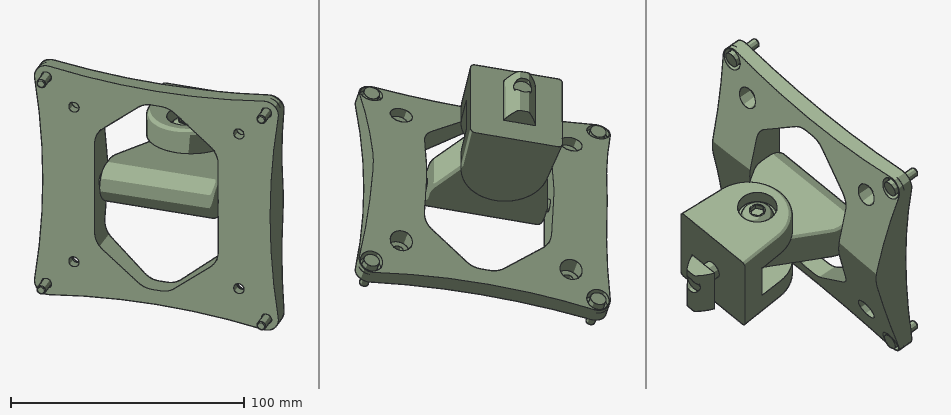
import cadquery as cq
import math

OVERSHOOT = 1.1

PLATE_HALF = 55.4
PLATE_WAIST = 51.6
CORNER_RADIUS = 5.9
RIDGE_HEIGHT = 17.5
EDGE_HEIGHT = 6.2
RIDGE_RADIUS = 26.6
WINDOW_HALF_WIDTH = 28.0
WINDOW_HALF_HEIGHT = 44.7
WINDOW_SIDE_HALF = 26.3
WINDOW_END_HALF = 5.5
WINDOW_RADIUS = 10.0
INNER_HOLE_OFFSET = 37.5
HOLE_RADIUS = 2.3

SCREW_OFFSET = 50.0
SCREW_RADIUS = 2.0
SCREW_REACH = 7.0
SCREW_CHAMFER = 0.4
HEAD_RADIUS = 3.4
HEAD_SEAT = 4.1
HEAD_TOP = 7.9
HEAD_POCKET_RADIUS = 4.9

ARM_HALF = 8.9
ARM_AXIS_Y = 8.4
ARM_HALF_WIDTH = 26.2
SHOULDER_RADIUS = 10.0
SWIVEL_Y = 39.0
ARM_END_RADIUS = 10.2
FLANK_ANGLE = 31.3
EDGE_RADIUS = 2.0
TILT_PIN_RADIUS = 2.8

YOKE_BACK_Y = 64.9
YOKE_TIP_Y = 25.3
YOKE_HALF_HEIGHT = 20.3
YOKE_BACK_HALF_WIDTH = 20.3
YOKE_NOSE_RADIUS = 18.8
SLOT_FLOOR_Y = 54.3
SLOT_FLOOR_HALF = 8.8
SLOT_MOUTH_HALF = 9.4

BOLT_POCKET_RADIUS = 8.4
BOLT_POCKET_DEPTH = 6.0
BOLT_HEAD_RADIUS = 7.1
BOLT_HEAD_HEIGHT = 4.0
BOLT_FLAT_RADIUS = 3.4
BOLT_DOME_BULGE = 0.7
BOLT_SHANK_RADIUS = 4.0
BOLT_HEX_FLATS = 5.5
BOLT_HEX_DEPTH = 2.2

POST_RADIUS = 4.0
NUT_BASE_Y = 70.5
NUT_TOP_Y = 78.0
NUT_SADDLE_Y = 76.0
NUT_BASE_HALF_WIDTH = 7.1
NUT_TOP_HALF_WIDTH = 2.3
NUT_CROWN_RADIUS = 1.8
NUT_BULGE_X = 5.2
NUT_BULGE_Y = 74.1
NUT_TOP_Z = 7.9
NUT_BOTTOM_Z = -15.5


def cylinder_y(radius, y_start, y_end, x=0.0, z=0.0):
    """Cylinder parallel to Y between two levels."""
    return cq.Workplane(cq.Solid.makeCylinder(
        radius, y_end - y_start, cq.Vector(x, y_start, z), cq.Vector(0, 1, 0)))


def four_corners(offset):
    """The four (x, z) positions at the corners of a square."""
    return [(sx * offset, sz * offset) for sx in (-1, 1) for sz in (-1, 1)]


def plate_outline():
    """Square block with rounded corners that run tangentially into four hollowed sides."""
    corner = PLATE_HALF - CORNER_RADIUS
    gap = PLATE_WAIST - corner
    side_radius = (gap**2 + corner**2 - CORNER_RADIUS**2) / (2 * (CORNER_RADIUS - gap))
    lean = math.asin(corner / (side_radius + CORNER_RADIUS))
    along = corner - CORNER_RADIUS * math.sin(lean)
    out = corner + CORNER_RADIUS * math.cos(lean)
    mid = corner + CORNER_RADIUS * math.sqrt(0.5)
    return (
        cq.Workplane("XZ").moveTo(out, -along)
        .threePointArc((PLATE_WAIST, 0), (out, along))
        .threePointArc((mid, mid), (along, out))
        .threePointArc((0, PLATE_WAIST), (-along, out))
        .threePointArc((-mid, mid), (-out, along))
        .threePointArc((-PLATE_WAIST, 0), (-out, -along))
        .threePointArc((-mid, -mid), (-along, -out))
        .threePointArc((0, -PLATE_WAIST), (along, -out))
        .threePointArc((mid, -mid), (out, -along))
        .close().extrude(-(RIDGE_HEIGHT + OVERSHOOT))
    )


def roof():
    """Prism along X that gives the plate its ridged back, with the ridge rounded."""
    slope = math.atan((RIDGE_HEIGHT - EDGE_HEIGHT) / PLATE_HALF)
    sharp_ridge = RIDGE_HEIGHT + RIDGE_RADIUS * (1 / math.cos(slope) - 1)
    return (
        cq.Workplane("YZ")
        .polyline([(0, -PLATE_HALF), (EDGE_HEIGHT, -PLATE_HALF), (sharp_ridge, 0),
                   (EDGE_HEIGHT, PLATE_HALF), (0, PLATE_HALF)])
        .close().extrude(PLATE_HALF, both=True)
        .edges(cq.selectors.NearestToPointSelector((0, sharp_ridge, 0))).fillet(RIDGE_RADIUS)
    )


def plate_window():
    """Eight-sided opening with rounded corners."""
    w, h = WINDOW_HALF_WIDTH, WINDOW_HALF_HEIGHT
    side, end = WINDOW_SIDE_HALF, WINDOW_END_HALF
    return (
        cq.Workplane("XZ")
        .polyline([(w, -side), (w, side), (end, h), (-end, h),
                   (-w, side), (-w, -side), (-end, -h), (end, -h)])
        .close().extrude(-(RIDGE_HEIGHT + OVERSHOOT)).edges("|Y").fillet(WINDOW_RADIUS)
    )


def make_plate():
    plate = plate_outline().intersect(roof()).cut(plate_window())
    for x, z in four_corners(INNER_HOLE_OFFSET) + four_corners(SCREW_OFFSET):
        plate = plate.cut(cylinder_y(HOLE_RADIUS, -OVERSHOOT, RIDGE_HEIGHT, x, z))
        plate = plate.cut(cylinder_y(HEAD_POCKET_RADIUS, HEAD_SEAT, RIDGE_HEIGHT, x, z))
    return plate


def corner_screw(x, z):
    shank = cylinder_y(SCREW_RADIUS, -SCREW_REACH, HEAD_TOP, x, z).faces("<Y").chamfer(SCREW_CHAMFER)
    return shank.union(cylinder_y(HEAD_RADIUS, HEAD_SEAT, HEAD_TOP, x, z))


def make_arm():
    """Flat arm, round at the swivel end and with a full-round front along X."""
    flank = math.radians(FLANK_ANGLE)
    touch_x = ARM_END_RADIUS * math.cos(flank)
    touch_y = SWIVEL_Y + ARM_END_RADIUS * math.sin(flank)
    shoulder_y = touch_y - (ARM_HALF_WIDTH - touch_x) / math.tan(flank)
    front_y = ARM_AXIS_Y - ARM_HALF
    slab = (
        cq.Workplane("XY").moveTo(-ARM_HALF_WIDTH, front_y)
        .lineTo(ARM_HALF_WIDTH, front_y).lineTo(ARM_HALF_WIDTH, shoulder_y)
        .lineTo(touch_x, touch_y)
        .threePointArc((0, SWIVEL_Y + ARM_END_RADIUS), (-touch_x, touch_y))
        .lineTo(-ARM_HALF_WIDTH, shoulder_y).close().extrude(ARM_HALF, both=True)
    )
    for side in (-1, 1):
        corner = cq.selectors.NearestToPointSelector((side * ARM_HALF_WIDTH, shoulder_y, 0))
        slab = slab.edges(corner).fillet(SHOULDER_RADIUS)
    back_y = SWIVEL_Y + ARM_END_RADIUS + OVERSHOOT
    rounded_front = (
        cq.Workplane("YZ").moveTo(ARM_AXIS_Y, ARM_HALF)
        .threePointArc((front_y, 0), (ARM_AXIS_Y, -ARM_HALF))
        .lineTo(back_y, -ARM_HALF).lineTo(back_y, ARM_HALF)
        .close().extrude(ARM_HALF_WIDTH, both=True)
    )
    arm = slab.intersect(rounded_front)
    return arm.faces("<Z or >Z").edges("not |X").fillet(EDGE_RADIUS)


def make_tilt_pin():
    return (
        cq.Workplane("YZ").center(ARM_AXIS_Y, 0).circle(TILT_PIN_RADIUS)
        .extrude(WINDOW_HALF_WIDTH, both=True)
    )


def make_plate_body():
    """Plate with its corner screws, tilt pin and arm."""
    body = make_plate().union(make_tilt_pin()).union(make_arm())
    for x, z in four_corners(SCREW_OFFSET):
        body = body.union(corner_screw(x, z))
    shank_hole = cq.Workplane("XY").center(0, SWIVEL_Y).circle(BOLT_SHANK_RADIUS)
    return body.cut(shank_hole.extrude(YOKE_HALF_HEIGHT, both=True))


def yoke_block():
    """U-shaped block whose leaning sides run tangentially into a round nose."""
    nose_y = YOKE_TIP_Y + YOKE_NOSE_RADIUS
    back = YOKE_BACK_Y - nose_y
    reach = math.hypot(YOKE_BACK_HALF_WIDTH, back)
    angle = math.atan2(back, YOKE_BACK_HALF_WIDTH) - math.acos(YOKE_NOSE_RADIUS / reach)
    touch_x = YOKE_NOSE_RADIUS * math.cos(angle)
    touch_y = nose_y + YOKE_NOSE_RADIUS * math.sin(angle)
    return (
        cq.Workplane("XY").moveTo(-YOKE_BACK_HALF_WIDTH, YOKE_BACK_Y)
        .lineTo(YOKE_BACK_HALF_WIDTH, YOKE_BACK_Y).lineTo(touch_x, touch_y)
        .threePointArc((0, YOKE_TIP_Y), (-touch_x, touch_y))
        .close().extrude(YOKE_HALF_HEIGHT, both=True)
        .faces(">Z or <Z").edges("not >Y").fillet(EDGE_RADIUS)
    )


def yoke_slot():
    """Slot for the arm, opening through the nose and widening towards it."""
    return (
        cq.Workplane("YZ")
        .polyline([(SLOT_FLOOR_Y, -SLOT_FLOOR_HALF), (SLOT_FLOOR_Y, SLOT_FLOOR_HALF),
                   (YOKE_TIP_Y, SLOT_MOUTH_HALF), (YOKE_TIP_Y, -SLOT_MOUTH_HALF)])
        .close().extrude(YOKE_BACK_HALF_WIDTH + OVERSHOOT, both=True)
    )


def swivel_bolt():
    """Button-head bolt with a hexagon socket, reaching through the arm."""
    seat = YOKE_HALF_HEIGHT - BOLT_POCKET_DEPTH
    top = seat + BOLT_HEAD_HEIGHT
    bulge = ((BOLT_HEAD_RADIUS + BOLT_FLAT_RADIUS) / 2 + BOLT_DOME_BULGE,
             (seat + top) / 2 + BOLT_DOME_BULGE)
    head = (
        cq.Workplane("XZ").moveTo(0, seat).lineTo(BOLT_HEAD_RADIUS, seat)
        .threePointArc(bulge, (BOLT_FLAT_RADIUS, top)).lineTo(0, top)
        .close().revolve(360, (0, 0), (0, 1)).translate((0, SWIVEL_Y, 0))
    )
    socket = (
        cq.Workplane("XY", origin=(0, SWIVEL_Y, top))
        .transformed(rotate=(0, 0, 90))
        .polygon(6, BOLT_HEX_FLATS / math.cos(math.pi / 6)).extrude(-BOLT_HEX_DEPTH)
    )
    shank_bottom = -SLOT_MOUTH_HALF - OVERSHOOT
    shank = (
        cq.Workplane("XY", origin=(0, SWIVEL_Y, shank_bottom))
        .circle(BOLT_SHANK_RADIUS).extrude(seat - shank_bottom)
    )
    return head.union(shank).cut(socket)


def slot_nut():
    """Bar along Z with a bulged wedge section and a bored crown."""
    bar = (
        cq.Workplane("XY", origin=(0, 0, NUT_BOTTOM_Z))
        .moveTo(-NUT_BASE_HALF_WIDTH, NUT_BASE_Y).lineTo(NUT_BASE_HALF_WIDTH, NUT_BASE_Y)
        .threePointArc((NUT_BULGE_X, NUT_BULGE_Y), (NUT_TOP_HALF_WIDTH, NUT_TOP_Y))
        .lineTo(-NUT_TOP_HALF_WIDTH, NUT_TOP_Y)
        .threePointArc((-NUT_BULGE_X, NUT_BULGE_Y), (-NUT_BASE_HALF_WIDTH, NUT_BASE_Y))
        .close().extrude(NUT_TOP_Z - NUT_BOTTOM_Z)
        .faces(">Y").edges("|Z").fillet(NUT_CROWN_RADIUS)
    )
    return bar.cut(cylinder_y(POST_RADIUS, NUT_SADDLE_Y, NUT_TOP_Y + OVERSHOOT))


def make_yoke_body():
    """Yoke with its swivel bolt, post and slot nut."""
    bolt_pocket = (
        cq.Workplane("XY", origin=(0, SWIVEL_Y, YOKE_HALF_HEIGHT))
        .circle(BOLT_POCKET_RADIUS).extrude(-BOLT_POCKET_DEPTH)
    )
    yoke = yoke_block().cut(yoke_slot()).cut(bolt_pocket)
    post = cylinder_y(POST_RADIUS, YOKE_BACK_Y - OVERSHOOT, NUT_BASE_Y + OVERSHOOT)
    return yoke.union(swivel_bolt()).union(post).union(slot_nut())


plate_body = make_plate_body()
yoke_body = make_yoke_body()

result = cq.Compound.makeCompound([plate_body.val(), yoke_body.val()])